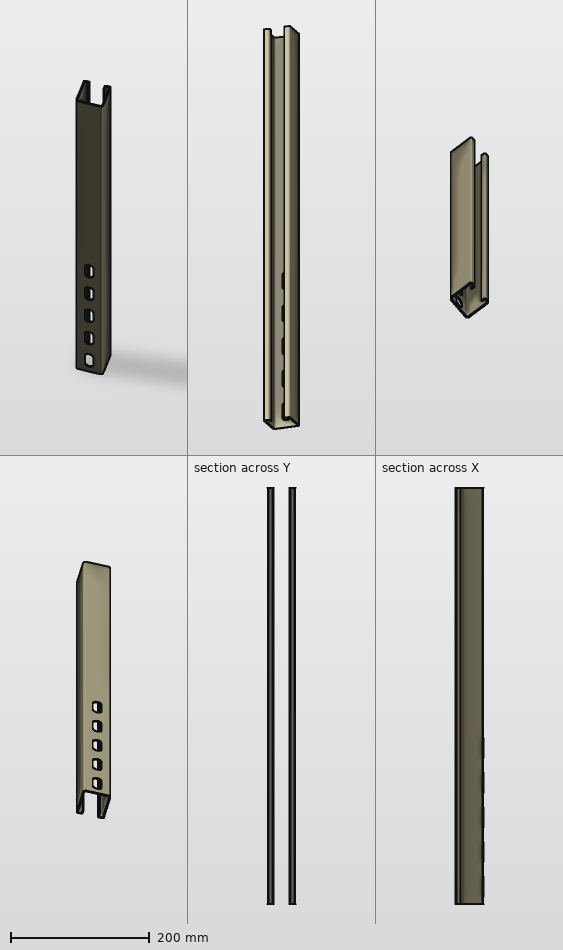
import cadquery as cq

LENGTH = 600
WIDTH = 41.0
DEPTH = 41.0
THICKNESS = 2.0
BACK_BEND_RADIUS = 4.0
FRONT_BEND_RADIUS = 2.5
MOUTH_WIDTH = 22.0
LIP_DEPTH = 7.0

SLOT_COUNT = 5
SLOT_LENGTH = 28.0
SLOT_WIDTH = 13.0
SLOT_PITCH = LENGTH / 12
FIRST_SLOT_HEIGHT = SLOT_PITCH / 2


def section_outline(inset):
    """Right half of the section from the centre plane to the lip, inset from its outer side."""
    side = WIDTH / 2 - inset
    front = DEPTH - inset
    lip = MOUTH_WIDTH / 2 + inset
    return [(0, inset), (side, inset), (side, front), (lip, front), (lip, DEPTH - LIP_DEPTH)]


def round_edge(body, corner, radius):
    """Round the lengthwise edge that stands on the given corner of the section."""
    middle = (corner[0], corner[1], LENGTH / 2)
    return body.edges(cq.selectors.NearestToPointSelector(middle)).fillet(radius)


def make_half_channel():
    """Half of the channel on the +X side, with its bends rounded inside and out."""
    outer_points = section_outline(0)
    inner_points = section_outline(THICKNESS)
    half = cq.Workplane("XY").polyline(outer_points + inner_points[::-1]).close().extrude(LENGTH)

    radii = (BACK_BEND_RADIUS, FRONT_BEND_RADIUS, FRONT_BEND_RADIUS)
    for outer, inner, radius in zip(outer_points[1:-1], inner_points[1:-1], radii):
        half = round_edge(half, outer, radius)
        half = round_edge(half, inner, radius - THICKNESS)
    return half


def make_channel():
    """Whole channel, mirrored about the centre plane."""
    half = make_half_channel()
    return half.union(half.mirror("YZ")).clean()


def make_slots():
    """Upright round-ended slots, evenly spaced from the lower end."""
    heights = [FIRST_SLOT_HEIGHT + i * SLOT_PITCH for i in range(SLOT_COUNT)]
    return (
        cq.Workplane("XZ")
        .pushPoints([(0, height) for height in heights])
        .slot2D(SLOT_LENGTH, SLOT_WIDTH, 90)
        .extrude(-DEPTH / 2)
    )


result = make_channel().cut(make_slots())